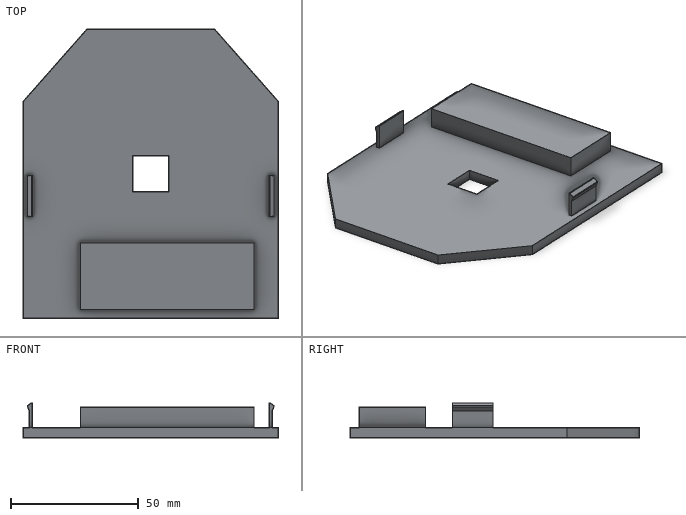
import cadquery as cq

plate_width = 100.0
plate_length = 113.2
plate_thickness = 4.0
rear_edge_width = 50.0
straight_side_length = 84.9

window_size = 14.0

block_width = 68.0
block_length = 26.0
block_height = 8.0
block_side_gap = 22.4
block_front_gap = 3.5

overall_height = 13.7
clip_length = 16.0
clip_front_gap = 40.0
clip_edge_gap = 2.4
clip_thickness = 1.2
clip_top_width = 0.3
barb_reach = 0.7
barb_tip_top_drop = 1.1
barb_tip_bottom_drop = 1.6
barb_root_drop = 3.2


def make_plate():
    """Plate with the two rear corners cut off, pierced by the window."""
    half_width = plate_width / 2
    half_rear = rear_edge_width / 2
    plate = (
        cq.Workplane("XY")
        .moveTo(-half_width, 0)
        .lineTo(half_width, 0)
        .lineTo(half_width, straight_side_length)
        .lineTo(half_rear, plate_length)
        .lineTo(-half_rear, plate_length)
        .lineTo(-half_width, straight_side_length)
        .close()
        .extrude(plate_thickness)
    )
    window = (
        cq.Workplane("XY")
        .center(0, plate_length / 2)
        .rect(window_size, window_size)
        .extrude(plate_thickness)
    )
    return plate.cut(window)


def make_block():
    """Solid block rising from the plate's upper face."""
    left = block_side_gap - plate_width / 2
    return (
        cq.Workplane("XY")
        .box(block_width, block_length, plate_thickness + block_height, centered=False)
        .translate((left, block_front_gap, 0))
    )


def make_left_clip():
    """Thin upright with an outward barb along its top."""
    outer = clip_edge_gap - plate_width / 2
    inner = outer + clip_thickness
    tip = outer - barb_reach
    profile = [
        (inner, 0),
        (inner, overall_height),
        (inner - clip_top_width, overall_height),
        (tip, overall_height - barb_tip_top_drop),
        (tip, overall_height - barb_tip_bottom_drop),
        (outer, overall_height - barb_root_drop),
        (outer, 0),
    ]
    return (
        cq.Workplane("XZ", origin=(0, clip_front_gap, 0))
        .polyline(profile)
        .close()
        .extrude(-clip_length)
    )


left_clip = make_left_clip()
right_clip = left_clip.mirror("YZ")
result = make_plate().union(make_block()).union(left_clip).union(right_clip)